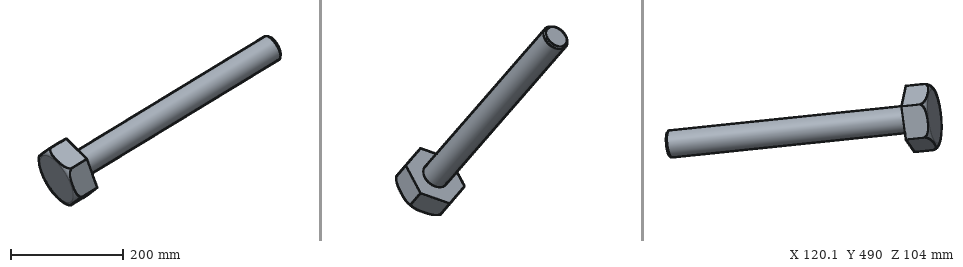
import cadquery as cq
import math

total_length = 490.0
across_flats = 104.0
head_height = 45.0
shank_diameter = 49.0
tip_chamfer = 3.5
face_diameter = 96.0
corner_drop = 12.5

across_corners = across_flats / math.cos(math.radians(30))
face_radius = face_diameter / 2
corner_radius = across_corners / 2
head_end = -total_length / 2


def along_y(start):
    """Workplane at Y = start; negative extrusions run toward +Y."""
    return cq.Workplane("XZ", origin=(0, start, 0))


def rounded_envelope():
    """Turned blank whose outer edge rounds off the hexagon corners."""
    run = corner_radius - face_radius
    middle = (face_radius + run * math.sin(math.pi / 4),
              head_end + corner_drop * (1 - math.cos(math.pi / 4)))
    return (
        cq.Workplane("XY")
        .moveTo(0, head_end)
        .lineTo(face_radius, head_end)
        .threePointArc(middle, (corner_radius, head_end + corner_drop))
        .lineTo(corner_radius, head_end + head_height)
        .lineTo(0, head_end + head_height)
        .close()
        .revolve(360, (0, 0, 0), (0, 1, 0))
    )


def head():
    hexagon = along_y(head_end).polygon(6, across_corners).extrude(-head_height)
    return hexagon.intersect(rounded_envelope())


def shank():
    rod = along_y(head_end + head_height).circle(shank_diameter / 2).extrude(head_height - total_length)
    return rod.faces(">Y").chamfer(tip_chamfer)


result = head().union(shank())